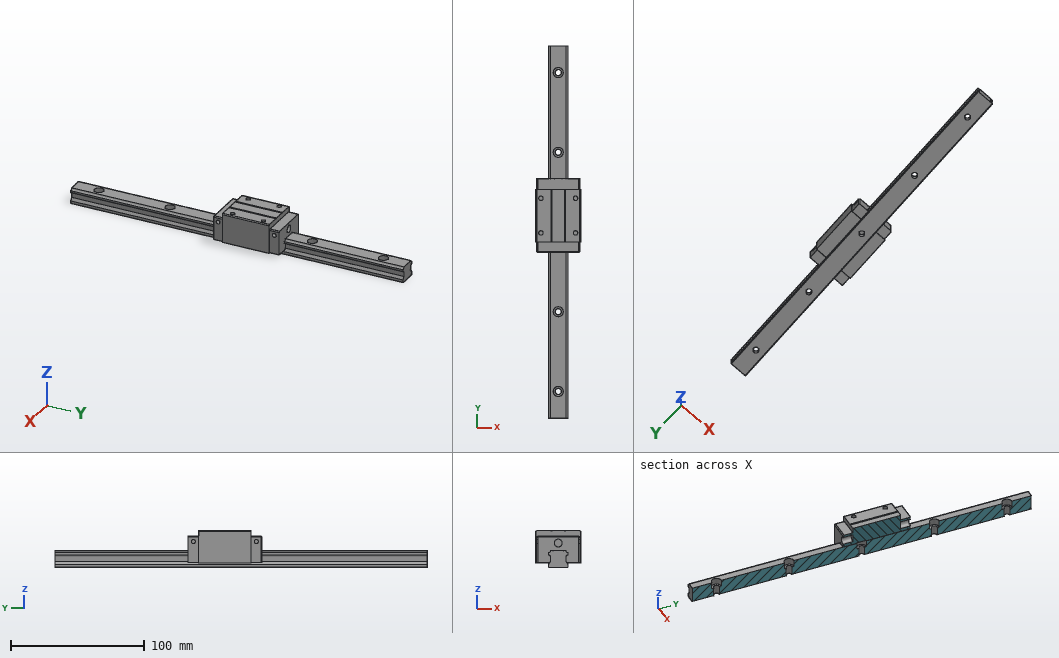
import cadquery as cq
RAIL_LENGTH = 280.0
RAIL_WIDTH = 14.8
RAIL_HEIGHT = 13.0
RACEWAY_RADIUS = 1.7
HEAD_BOTTOM_Z = 7.8
WAIST_BOTTOM_Z = 4.8
FOOT_TOP_Z = 2.5
RAIL_WAIST_WIDTH = RAIL_WIDTH - 2 * RACEWAY_RADIUS
FOOT_CHAMFER = 0.5

RAIL_HOLE_COUNT = 5
RAIL_HOLE_PITCH = 60.0
RAIL_HOLE_DIAMETER = 4.5
RAIL_BORE_DIAMETER = 7.5
RAIL_BORE_DEPTH = 5.3

CARRIAGE_Y = 12.3
BLOCK_TOP_Z = 28.0
BLOCK_BOTTOM_Z = 3.5
BLOCK_WIDTH = 34.0
BLOCK_LENGTH = 39.5
BLOCK_CHAMFER = 0.8
GROOVE_SPACING = 10.0
GROOVE_WIDTH = 0.8
GROOVE_DEPTH = 0.3

TOP_HOLE_SPACING = 26.0
TOP_HOLE_DIAMETER = 3.5
TOP_HOLE_DEPTH = 5.0

CAP_WIDTH = 32.5
CAP_LENGTH = 8.0
CAP_TOP_Z = 23.8
CAP_BOTTOM_Z = 4.0
CAP_CHAMFER = 0.8
GREASE_HOLE_DIAMETER = 6.0
GREASE_HOLE_Z = 18.5
SIDE_HOLE_DIAMETER = 3.0
SIDE_HOLE_Z = 19.5
SIDE_HOLE_DEPTH = 4.2
SIDE_HOLE_INSET = 4.2


def rail_bar():
    """Plain rail profile along Y, used for the rail and for its channel in the carriage."""
    right_side = [
        (RAIL_WIDTH / 2, 0),
        (RAIL_WIDTH / 2, FOOT_TOP_Z),
        (RAIL_WAIST_WIDTH / 2, WAIST_BOTTOM_Z),
        (RAIL_WAIST_WIDTH / 2, HEAD_BOTTOM_Z),
        (RAIL_WIDTH / 2, HEAD_BOTTOM_Z),
        (RAIL_WIDTH / 2, RAIL_HEIGHT),
    ]
    left_side = [(-x, z) for x, z in reversed(right_side)]
    bar = (
        cq.Workplane("XZ")
        .polyline(right_side + left_side)
        .close()
        .extrude(RAIL_LENGTH / 2, both=True)
        .edges("|Y and <Z")
        .chamfer(FOOT_CHAMFER)
    )
    raceways = (
        cq.Workplane("XZ")
        .pushPoints([(side * RAIL_WIDTH / 2, z) for side in (-1, 1) for z in (HEAD_BOTTOM_Z, RAIL_HEIGHT)])
        .circle(RACEWAY_RADIUS)
        .extrude(RAIL_LENGTH / 2, both=True)
    )
    return bar.cut(raceways)


def make_rail():
    return (
        rail_bar()
        .faces(">Z")
        .workplane(origin=(0, 0, RAIL_HEIGHT))
        .rarray(2.8, RAIL_HOLE_PITCH, 1, RAIL_HOLE_COUNT)
        .cboreHole(RAIL_HOLE_DIAMETER, RAIL_BORE_DIAMETER, RAIL_BORE_DEPTH)
    )


def make_block():
    """Central part of the carriage, with chamfered top sides, two grooves and four holes."""
    height = BLOCK_TOP_Z - BLOCK_BOTTOM_Z
    block = (
        cq.Workplane("XY", origin=(0, CARRIAGE_Y, BLOCK_BOTTOM_Z))
        .box(BLOCK_WIDTH, BLOCK_LENGTH, height, centered=(True, True, False))
        .edges("|Y and >Z")
        .chamfer(BLOCK_CHAMFER)
    )
    top = cq.Workplane("XY", origin=(0, CARRIAGE_Y, BLOCK_TOP_Z))
    grooves = (
        top.rarray(GROOVE_SPACING, 2.8, 2, 1)
        .rect(GROOVE_WIDTH, BLOCK_LENGTH)
        .extrude(-GROOVE_DEPTH)
    )
    holes = (
        top.rarray(TOP_HOLE_SPACING, TOP_HOLE_SPACING, 2, 2)
        .circle(TOP_HOLE_DIAMETER / 2)
        .extrude(-TOP_HOLE_DEPTH)
    )
    return block.cut(grooves).cut(holes)


def make_end_cap(end):
    """End cap on the -Y (end = -1) or +Y (end = 1) side of the block."""
    inner_y = CARRIAGE_Y + end * BLOCK_LENGTH / 2
    outer_y = inner_y + end * CAP_LENGTH
    height = CAP_TOP_Z - CAP_BOTTOM_Z
    cap = (
        cq.Workplane("XY", origin=(0, (inner_y + outer_y) / 2, CAP_BOTTOM_Z))
        .box(CAP_WIDTH, CAP_LENGTH, height, centered=(True, True, False))
        .edges("|Y and >Z")
        .chamfer(CAP_CHAMFER)
    )
    if end < 0:
        cap = cap.faces("<Y").edges("not <Z").chamfer(CAP_CHAMFER)
    grease_hole = (
        cq.Workplane("XZ", origin=(0, outer_y, GREASE_HOLE_Z))
        .circle(GREASE_HOLE_DIAMETER / 2)
        .extrude(end * CAP_LENGTH)
    )
    cap = cap.cut(grease_hole)
    for side in (-1, 1):
        side_hole = (
            cq.Workplane("YZ", origin=(side * CAP_WIDTH / 2, outer_y - end * SIDE_HOLE_INSET, SIDE_HOLE_Z))
            .circle(SIDE_HOLE_DIAMETER / 2)
            .extrude(-side * SIDE_HOLE_DEPTH)
        )
        cap = cap.cut(side_hole)
    return cap


def make_carriage():
    return make_block().union(make_end_cap(-1)).union(make_end_cap(1)).cut(rail_bar())


rail = make_rail()
carriage = make_carriage()

result = cq.Compound.makeCompound([rail.val(), carriage.val()])